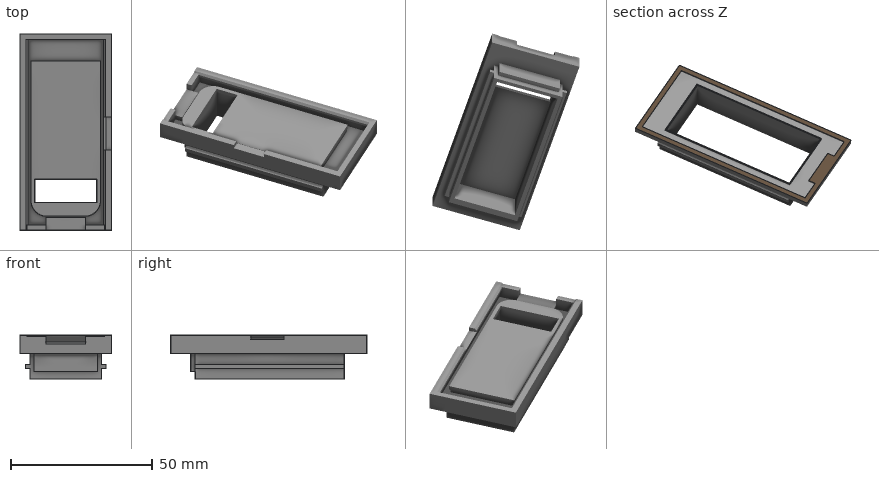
import cadquery as cq

LENGTH = 69.5
WIDTH = 32.4
HEIGHT = 15.5
TRAY_BOTTOM = 9.0
FLOOR_TOP = 10.5
WALL = 1.95
FRONT = -LENGTH / 2
BACK = LENGTH / 2
INNER_WIDTH = WIDTH - 2 * WALL

LIP_REACH = 0.9
LIP_BOTTOM = 13.9
LIP_CHAMFER = 0.7

GAP_BOTTOM = 14.05
GAP_LENGTH = 11.6
GAP_CENTER_Y = -0.5

TAB_TOP = 15.1
STEP_TOP = 12.45
STEP_WIDTH = 14.1
STEP_DEPTH = 4.5

PANEL_WIDTH = 24.5
PANEL_TOP = 13.1
PANEL_THICKNESS = 1.5
PANEL_BOTTOM = PANEL_TOP - PANEL_THICKNESS
PANEL_FRONT = FRONT + 5.0
PANEL_BACK = BACK - 9.5
PANEL_RADIUS = 5.4

BODY_WIDTH = 25.4
BODY_FRONT = FRONT + 8.7
BODY_BACK = BACK - 8.0
RAIL_SPAN = 28.5
RAIL_BOTTOM = 3.7
RAIL_HEIGHT = 1.5
NOSE_WIDTH = 22.45
NOSE_BOTTOM = 2.65
NOSE_LENGTH = 1.5

CAVITY_WIDTH = NOSE_WIDTH
WINDOW_WIDTH = 21.9
WINDOW_FRONT = FRONT + 9.95
WINDOW_BACK = FRONT + 18.0

PEDESTAL_WALL = 0.55
PEDESTAL_WIDTH = CAVITY_WIDTH + 2 * PEDESTAL_WALL
PEDESTAL_FRONT = WINDOW_FRONT - PEDESTAL_WALL
CAVITY_BACK = PANEL_BACK - PEDESTAL_WALL


def block(width, front, back, bottom, top):
    """Box centred on X, spanning the given Y and Z limits."""
    size_y = back - front
    size_z = top - bottom
    plain_box = cq.Workplane("XY").box(width, size_y, size_z, centered=(True, False, False))
    return plain_box.translate((0, front, bottom))


def make_lip():
    """Right-hand lip whose top inner edge has a 45 degree chamfer."""
    wall_x = INNER_WIDTH / 2
    edge_x = wall_x - LIP_REACH
    profile = [
        (wall_x, LIP_BOTTOM),
        (edge_x, LIP_BOTTOM),
        (edge_x, HEIGHT - LIP_CHAMFER),
        (edge_x + LIP_CHAMFER, HEIGHT),
        (wall_x, HEIGHT),
    ]
    return cq.Workplane("XZ", origin=(0, BACK, 0)).polyline(profile).close().extrude(LENGTH)


def make_tray():
    tray = block(WIDTH, FRONT, BACK, TRAY_BOTTOM, HEIGHT)
    tray = tray.cut(block(INNER_WIDTH, FRONT, BACK - WALL, FLOOR_TOP, HEIGHT))
    lip = make_lip()
    tray = tray.union(lip).union(lip.mirror("YZ"))
    gap_front = GAP_CENTER_Y - GAP_LENGTH / 2
    gap = block(WIDTH / 2, gap_front, gap_front + GAP_LENGTH, GAP_BOTTOM, HEIGHT)
    return tray.cut(gap.translate((WIDTH / 2, 0, 0)))


def make_front_wall():
    tabs = block(INNER_WIDTH, FRONT, FRONT + WALL, FLOOR_TOP, TAB_TOP)
    tabs = tabs.cut(block(STEP_WIDTH, FRONT, FRONT + WALL, STEP_TOP, TAB_TOP))
    step = block(STEP_WIDTH, FRONT, FRONT + STEP_DEPTH, FLOOR_TOP, STEP_TOP)
    return tabs.union(step)


def make_panel():
    panel = block(PANEL_WIDTH, PANEL_FRONT, PANEL_BACK, PANEL_BOTTOM, PANEL_TOP)
    panel = panel.faces("<Y").edges("|Z").fillet(PANEL_RADIUS)
    pedestal = block(PEDESTAL_WIDTH, PEDESTAL_FRONT, PANEL_BACK, FLOOR_TOP, PANEL_BOTTOM)
    return panel.union(pedestal)


def make_body():
    body = block(BODY_WIDTH, BODY_FRONT, BODY_BACK, 0, TRAY_BOTTOM)
    rails = block(RAIL_SPAN, BODY_FRONT, BODY_BACK, RAIL_BOTTOM, RAIL_BOTTOM + RAIL_HEIGHT)
    nose = block(NOSE_WIDTH, BODY_FRONT - NOSE_LENGTH, BODY_FRONT, NOSE_BOTTOM, TRAY_BOTTOM)
    return body.union(rails).union(nose)


cavity = block(CAVITY_WIDTH, WINDOW_FRONT, CAVITY_BACK, 0, PANEL_BOTTOM)
window = block(WINDOW_WIDTH, WINDOW_FRONT, WINDOW_BACK, 0, PANEL_TOP)

result = make_tray().union(make_front_wall()).union(make_panel()).union(make_body())
result = result.cut(cavity).cut(window)